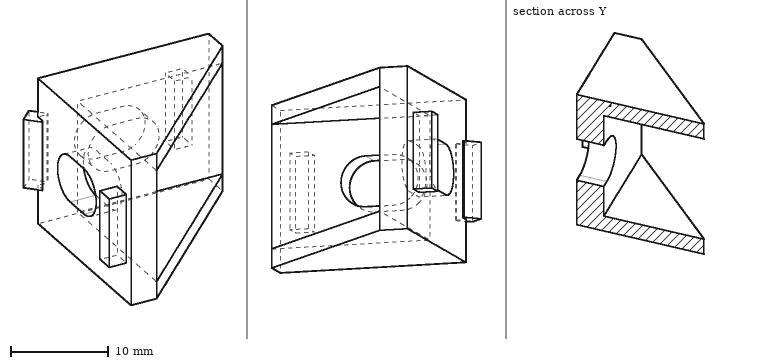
import cadquery as cq

overall_side = 22.0
height = 17.0

tab_size = 2.0
leg_length = overall_side - tab_size
wall = 3.0
plate = 2.0

slot_length = 8.3
slot_width = 5.3
slot_center = 8.38

tab_height = 8.0
x_leg_end_gap = 1.0
y_leg_end_gap = 2.0
x_leg_tab_center = leg_length - x_leg_end_gap - tab_size / 2
y_leg_tab_center = leg_length - y_leg_end_gap - tab_size / 2
corner_tab_reach = 1.25

mid_height = height / 2


def make_body():
    """Triangular prism with blunt ends as thick as the walls."""
    outline = [
        (0, 0),
        (leg_length, 0),
        (leg_length, wall),
        (wall, leg_length),
        (0, leg_length),
    ]
    return cq.Workplane("XY").polyline(outline).close().extrude(height)


def make_pocket():
    """Triangular cavity between the plates, open on the sloping side."""
    outline = [(wall, wall), (leg_length, wall), (leg_length, leg_length), (wall, leg_length)]
    pocket = cq.Workplane("XY").workplane(offset=plate).polyline(outline).close()
    return pocket.extrude(height - 2 * plate)


def make_slot(plane, direction):
    """Horizontal slot through the wall that lies on the given plane."""
    sketch = cq.Workplane(plane).center(slot_center, mid_height)
    return sketch.slot2D(slot_length, slot_width).extrude(direction * wall)


def make_tab(x, y):
    """Upright square tab centred on (x, y) and on the body's mid height."""
    tab = cq.Workplane("XY").box(tab_size, tab_size, tab_height)
    return tab.translate((x, y, mid_height))


def make_corner_tab():
    """Tab turned 45 degrees across the outer corner, its inner part sunk into the walls."""
    tab = make_tab(tab_size / 2 - corner_tab_reach, 0)
    return tab.rotate((0, 0, 0), (0, 0, 1), 45)


result = make_body().cut(make_pocket())

result = result.cut(make_slot("XZ", -1)).cut(make_slot("YZ", 1))

result = result.union(make_tab(x_leg_tab_center, -tab_size / 2))
result = result.union(make_tab(-tab_size / 2, y_leg_tab_center))
result = result.union(make_corner_tab())